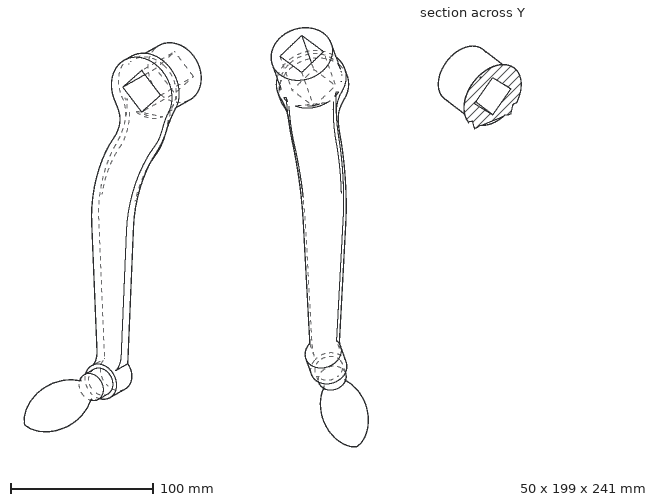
import cadquery as cq
import math

throw = 200.0
total_depth = 199.0

hub_radius = 22.0
hub_length = 34.6
hub_root_fillet = 1.0
square_side = 22.0

eye_radius = 25.0
arm_thickness = 9.6
arm_offset = 43.7
arm_half_width_top = 18.4
arm_half_width_end = 9.2
shoulder_radius = 38.0

bend_start = 20.0
bend_end = 87.0
upper_bend_radius = 16.0

bevel_start = 12.0
bevel_upper_radius = 32.0
bevel_width = 1.6
core_sink = 4.0

boss_radius = 13.0
boss_end_depth = 99.0
boss_fillet = 7.0

collar_radius = 10.0
neck_radius = 8.0
neck_arc_radius = 17.0
grip_radius = 16.0
grip_arc_radius = 69.5
tip_radius = 2.6
tip_length = 1.9

eye_front_depth = hub_length + arm_thickness
arm_back_depth = hub_length + arm_offset
arm_front_depth = arm_back_depth + arm_thickness

side_taper = math.atan((arm_half_width_top - arm_half_width_end) / throw)


def hub():
    cylinder = cq.Workplane("XZ").circle(hub_radius).extrude(hub_length)
    root = (
        cq.Workplane("XY")
        .moveTo(0, -hub_length)
        .lineTo(hub_radius + hub_root_fillet, -hub_length)
        .radiusArc((hub_radius, -hub_length + hub_root_fillet), hub_root_fillet)
        .lineTo(0, -hub_length + hub_root_fillet)
        .close()
        .revolve(360, (0, 0, 0), (0, 1, 0))
    )
    return cylinder.union(root)


def arm_outline():
    """Round eye blending into tapered sides, through the full depth."""
    normal_x, normal_z = math.cos(side_taper), -math.sin(side_taper)
    across = arm_half_width_top * math.cos(side_taper) + shoulder_radius
    along = math.sqrt((eye_radius + shoulder_radius) ** 2 - across**2)
    centre_x = across * normal_x + along * normal_z
    centre_z = across * normal_z - along * normal_x
    eye_share = eye_radius / (eye_radius + shoulder_radius)
    eye_x, eye_z = centre_x * eye_share, centre_z * eye_share
    side_x = centre_x - shoulder_radius * normal_x
    side_z = centre_z - shoulder_radius * normal_z
    return (
        cq.Workplane("XZ")
        .moveTo(eye_x, eye_z)
        .threePointArc((0, eye_radius), (-eye_x, eye_z))
        .radiusArc((-side_x, side_z), shoulder_radius)
        .lineTo(-arm_half_width_end, -throw)
        .lineTo(arm_half_width_end, -throw)
        .lineTo(side_x, side_z)
        .radiusArc((eye_x, eye_z), shoulder_radius)
        .close()
        .extrude(total_depth)
    )


def back_edge(profile, start, upper_radius):
    """Draw the arm's back from the handle axis up to the eye: straight, two tangent arcs, straight."""
    drop = bend_end - start
    angle = 2 * math.atan(arm_offset / drop)
    lower_radius = drop / math.sin(angle) - upper_radius
    inflection_depth = hub_length + upper_radius * (1 - math.cos(angle))
    inflection_z = -start - upper_radius * math.sin(angle)
    return (
        profile.lineTo(-arm_back_depth, -throw)
        .lineTo(-arm_back_depth, -bend_end)
        .radiusArc((-inflection_depth, inflection_z), lower_radius)
        .radiusArc((-hub_length, -start), -upper_radius)
        .lineTo(-hub_length, eye_radius)
    )


def arm_section(plane, back_start, back_upper_radius, sink=0):
    """Cranked strip seen along X, with its back edge given by start and upper bend radius.

    The front edge is moved back into the strip by sink.
    """
    drop = bend_end - bend_start
    angle = 2 * math.atan(arm_offset / drop)
    lower_radius = drop / math.sin(angle) - upper_bend_radius
    top_depth = eye_front_depth - sink
    bottom_depth = arm_front_depth - sink
    inflection_depth = top_depth + upper_bend_radius * (1 - math.cos(angle))
    inflection_z = -bend_start - upper_bend_radius * math.sin(angle)
    front = (
        cq.Workplane(plane)
        .moveTo(-top_depth, eye_radius)
        .lineTo(-top_depth, -bend_start)
        .radiusArc((-inflection_depth, inflection_z), upper_bend_radius)
        .radiusArc((-bottom_depth, -bend_end), -lower_radius)
        .lineTo(-bottom_depth, -throw)
    )
    return back_edge(front, back_start, back_upper_radius).close()


def side_plane(side, inset):
    """Plane along the arm's tapered side (side = -1 or 1), moved inward by inset."""
    return cq.Plane(
        origin=(side * (arm_half_width_top - inset), 0, 0),
        xDir=(0, 1, 0),
        normal=(math.cos(side_taper), 0, -side * math.sin(side_taper)),
    )


def arm():
    """Full-width strip, thinner at the bend, with a core whose back edges are bevelled."""
    strip = arm_section("YZ", bevel_start, bevel_upper_radius).extrude(eye_radius, both=True)
    core_back = (bend_start, upper_bend_radius + arm_thickness, core_sink)
    bevel_back = (bevel_start, bevel_upper_radius, core_sink)
    sections = [
        arm_section(side_plane(-1, 0), *bevel_back),
        arm_section(side_plane(-1, bevel_width), *core_back),
        arm_section(side_plane(1, bevel_width), *core_back),
        arm_section(side_plane(1, 0), *bevel_back),
    ]
    core = cq.Solid.makeLoft([section.val() for section in sections], True)
    return arm_outline().intersect(strip.union(cq.Workplane(core)))


def turned(profile):
    """Revolve a (radius, -depth) profile about the handle axis."""
    return profile.close().revolve(360, (0, 0, 0), (0, 1, 0)).translate((0, 0, -throw))


def boss():
    return turned(
        cq.Workplane("XY")
        .moveTo(0, -arm_back_depth)
        .lineTo(boss_radius, -arm_back_depth)
        .lineTo(boss_radius, -boss_end_depth)
        .lineTo(0, -boss_end_depth)
    )


def boss_blend():
    """Fillet between the arm's front face and the boss, no wider than the arm."""
    ring = turned(
        cq.Workplane("XY")
        .moveTo(0, -arm_front_depth)
        .lineTo(boss_radius + boss_fillet, -arm_front_depth)
        .radiusArc((boss_radius, -arm_front_depth - boss_fillet), -boss_fillet)
        .lineTo(0, -arm_front_depth - boss_fillet)
    )
    return ring.intersect(arm_outline())


def handle():
    tip_cap_radius = (tip_radius**2 + tip_length**2) / (2 * tip_length)
    grip_sink = grip_arc_radius - grip_radius
    tip_depth = total_depth - tip_length
    peak_depth = tip_depth - math.sqrt(grip_arc_radius**2 - (grip_sink + tip_radius) ** 2)
    centre_distance = grip_arc_radius + neck_arc_radius
    centre_rise = grip_sink + neck_radius + neck_arc_radius
    neck_depth = peak_depth - math.sqrt(centre_distance**2 - centre_rise**2)
    neck_share = grip_arc_radius / centre_distance
    grip_start_radius = centre_rise * neck_share - grip_sink
    grip_start_depth = peak_depth - (peak_depth - neck_depth) * neck_share
    collar_rise = neck_arc_radius + neck_radius - collar_radius
    collar_end_depth = neck_depth - math.sqrt(neck_arc_radius**2 - collar_rise**2)
    return turned(
        cq.Workplane("XY")
        .moveTo(0, -boss_end_depth)
        .lineTo(collar_radius, -boss_end_depth)
        .lineTo(collar_radius, -collar_end_depth)
        .threePointArc((neck_radius, -neck_depth), (grip_start_radius, -grip_start_depth))
        .threePointArc((grip_radius, -peak_depth), (tip_radius, -tip_depth))
        .radiusArc((0, -total_depth), tip_cap_radius)
    )


def square_hole():
    return (
        cq.Workplane("XZ")
        .transformed(rotate=(0, 0, 45))
        .rect(square_side, square_side)
        .extrude(eye_front_depth)
    )


result = hub().union(arm()).union(boss()).union(boss_blend()).union(handle())
result = result.cut(square_hole())